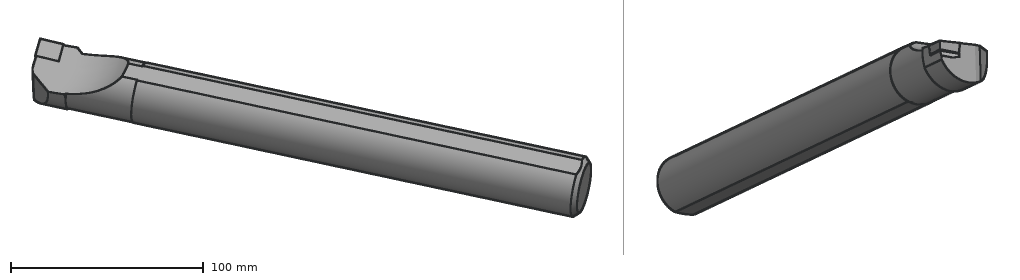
import cadquery as cq
import math

LENGTH = 300.0
SHANK_RADIUS = 32.0 / 2
NECK_RADIUS = 31.8 / 2
FLAT_HEIGHT = 30.3 / 2
SHANK_START = 60.0
END_CHAMFER = 2.7

OVERALL_HEIGHT = 34.0
HEAD_RADIUS = 19.2
HEAD_CENTER_Y = HEAD_RADIUS - NECK_RADIUS
HEAD_BOTTOM = FLAT_HEIGHT - OVERALL_HEIGHT
HEAD_CENTER_Z = HEAD_BOTTOM + HEAD_RADIUS
HEAD_BACK_Y = 19.8
TRANSITION_END = 24.5
FRONT_CLEARANCE = 3.0
SIDEWAYS_LEAN = 4.0
FRONT_MARGIN = 30.0
FRONT_CORNERS = [(0.5, 20.0), (2.5, -1.2), (4.0, -4.8)]

RAKE_HEIGHT = 0.3
RAKE_SLOPE_X = 0.06
RAKE_SLOPE_Y = -0.07
GOUGE_AXIS_X = -9.0
GOUGE_AXIS_Y = 0.3
GOUGE_FLOOR_RADIUS = 33.0
GOUGE_MID = (49.5, 3.0)
GOUGE_RIM = (61.5, 9.5)
GOUGE_CLEAR = (75.0, 24.0)

TIP_Y = 21.5
INSERT_SIDE = 13.0
EDGE_ANGLE = 5.0
INSERT_CLEARANCE = 5.0
INSERT_BOTTOM = -4.2
INSERT_BLANK_TOP = 4.5

LEDGE_DROP = 3.0
LEDGE_TOP_X = 2.7
LEDGE_FRONT_X = 1.5


def rod(radius, start, end):
    return cq.Workplane("YZ", origin=(start, 0, 0)).circle(radius).extrude(end - start)


def box(x, y, z):
    """Box given by its (low, high) limits along each axis."""
    sizes = (x[1] - x[0], y[1] - y[0], z[1] - z[0])
    return cq.Workplane("XY").box(*sizes, centered=False).translate((x[0], y[0], z[0]))


def make_shank():
    shank = rod(SHANK_RADIUS, SHANK_START, LENGTH).faces(">X").chamfer(END_CHAMFER)
    across = (-SHANK_RADIUS, SHANK_RADIUS)
    return shank.intersect(box((SHANK_START, LENGTH), across, (-FLAT_HEIGHT, FLAT_HEIGHT)))


def make_neck():
    neck = rod(NECK_RADIUS, TRANSITION_END, SHANK_START)
    across = (-NECK_RADIUS, NECK_RADIUS)
    return neck.intersect(box((TRANSITION_END, SHANK_START), across, (-NECK_RADIUS, FLAT_HEIGHT)))


def make_front_trim():
    """Volume behind the front faces of the head, which lean back towards the underside."""
    front = FRONT_CORNERS
    flank_exit = (front[-1][0] + FRONT_MARGIN, front[-1][1] - FRONT_MARGIN)
    back_x = flank_exit[0] + FRONT_MARGIN
    top_y = front[0][1] + FRONT_MARGIN
    outline = [*front, flank_exit, (back_x, flank_exit[1]), (back_x, top_y), (front[0][0], top_y)]
    sideways_lean = math.tan(math.radians(SIDEWAYS_LEAN))
    lean = math.tan(math.radians(FRONT_CLEARANCE))

    def section(z):
        shift = lean * (RAKE_HEIGHT - z)
        drift = sideways_lean * (RAKE_HEIGHT - z)
        corners = [cq.Vector(x + shift, y - drift, z) for x, y in outline]
        return cq.Wire.makePolygon(corners, close=True)

    return cq.Workplane(cq.Solid.makeLoft([section(HEAD_BOTTOM), section(NECK_RADIUS)], True))


def make_neck_cone():
    """45 degree cone about the bar axis that brings the head down to the neck."""
    wide_radius = NECK_RADIUS + TRANSITION_END
    profile = [(0, 0), (0, wide_radius), (TRANSITION_END, NECK_RADIUS), (TRANSITION_END, 0)]
    return cq.Workplane("XY").polyline(profile).close().revolve(360, (0, 0, 0), (1, 0, 0))


def make_head():
    head = (
        cq.Workplane("YZ")
        .moveTo(-NECK_RADIUS, NECK_RADIUS)
        .lineTo(-NECK_RADIUS, HEAD_CENTER_Z)
        .threePointArc((HEAD_CENTER_Y, HEAD_BOTTOM), (HEAD_CENTER_Y + HEAD_RADIUS, HEAD_CENTER_Z))
        .lineTo(HEAD_CENTER_Y + HEAD_RADIUS, NECK_RADIUS)
        .close()
        .extrude(TRANSITION_END)
    )
    limits = box((0, TRANSITION_END), (-NECK_RADIUS, HEAD_BACK_Y), (HEAD_BOTTOM, NECK_RADIUS))
    return head.intersect(limits).intersect(make_front_trim()).intersect(make_neck_cone())


def rake_height(x, y):
    return RAKE_HEIGHT + RAKE_SLOPE_X * x + RAKE_SLOPE_Y * (y - TIP_Y)


def make_gouge():
    """Dished cutter volume standing square on the sloping rake plane."""
    rake = cq.Plane(
        origin=(GOUGE_AXIS_X, GOUGE_AXIS_Y, rake_height(GOUGE_AXIS_X, GOUGE_AXIS_Y)),
        xDir=(-1, 0, -RAKE_SLOPE_X),
        normal=(-RAKE_SLOPE_X, -RAKE_SLOPE_Y, 1),
    )
    profile = (
        cq.Workplane("XZ")
        .lineTo(GOUGE_FLOOR_RADIUS, 0)
        .threePointArc(GOUGE_MID, GOUGE_RIM)
        .lineTo(*GOUGE_CLEAR)
        .lineTo(0, GOUGE_CLEAR[1])
        .close()
    )
    cutter = profile.revolve(360, (0, 0, 0), (0, 1, 0))
    return cq.Workplane("XY").add(cutter.val().moved(cq.Location(rake)))


def make_insert(gouge):
    """Rhombic insert, narrowing downwards, with its top in the rake plane."""
    along = INSERT_SIDE * math.cos(math.radians(EDGE_ANGLE))
    across = INSERT_SIDE * math.sin(math.radians(EDGE_ANGLE))
    corners = [(0, 0), (along, -across), (along + across, -along - across), (across, -along)]
    center_x = (along + across) / 2
    center_y = -center_x
    half_width = INSERT_SIDE * math.cos(math.radians(2 * EDGE_ANGLE)) / 2

    def section(z):
        growth = math.tan(math.radians(INSERT_CLEARANCE)) * (z - RAKE_HEIGHT)
        scale = 1 + growth / half_width
        points = [
            cq.Vector(center_x + scale * (x - center_x), TIP_Y + center_y + scale * (y - center_y), z)
            for x, y in corners
        ]
        return cq.Wire.makePolygon(points, close=True)

    blank = cq.Workplane(cq.Solid.makeLoft([section(INSERT_BOTTOM), section(INSERT_BLANK_TOP)], True))
    return blank.cut(gouge)


def make_seat_ledge():
    """Sloping relief on the front of the head, below the insert."""
    inner_y = TIP_Y - INSERT_SIDE
    return (
        cq.Workplane("XZ", origin=(0, inner_y, 0))
        .moveTo(0, INSERT_BOTTOM)
        .lineTo(LEDGE_TOP_X, INSERT_BOTTOM)
        .lineTo(LEDGE_FRONT_X, INSERT_BOTTOM - LEDGE_DROP)
        .lineTo(0, INSERT_BOTTOM - LEDGE_DROP)
        .close()
        .extrude(-INSERT_SIDE)
    )


gouge = make_gouge()
insert = make_insert(gouge)
holder = make_shank().union(make_neck()).union(make_head()).cut(gouge).cut(insert).cut(make_seat_ledge())
result = cq.Compound.makeCompound([holder.val(), insert.val()])